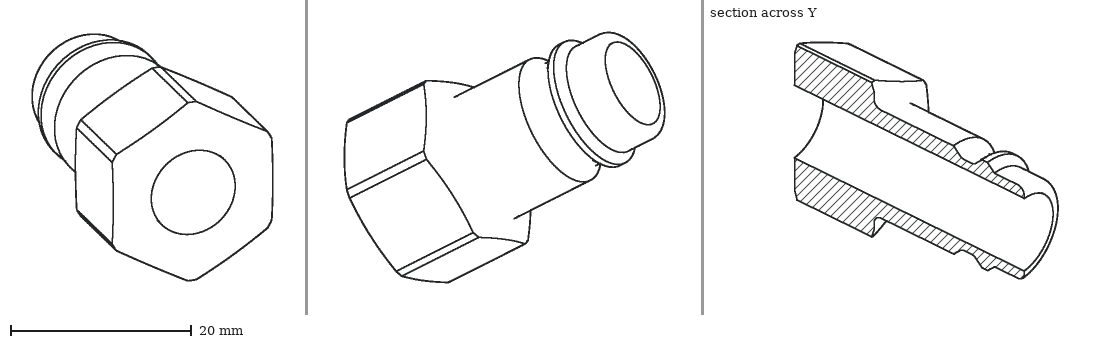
import cadquery as cq
import math

total_length = 33.0
bore_diameter = 10.0

nose_radius = 13.0 / 2
nose_rounding = 1.0
collar_radius = 15.0 / 2
collar_start = 5.28
collar_end = 6.07
groove_radius = 12.65 / 2
groove_fillet = 1.0
body_start = 10.13
body_radius = collar_radius
shoulder_fillet = 1.0

hex_start = 21.5
across_flats = 19.0
corner_diameter = 21.4
chamfer_length = 0.35
front_chamfer_diameter = across_flats
rear_chamfer_diameter = 18.8


def make_plug():
    """Revolved plug: rounded nose, collar, locking groove and body."""
    diagonal = math.sqrt(0.5)
    fillet_rise = groove_fillet * (1 - diagonal)
    fillet_run = groove_fillet * diagonal
    wall_foot_radius = groove_radius + fillet_rise
    collar_wall_foot = collar_end + collar_radius - wall_foot_radius
    body_wall_foot = body_start - (body_radius - wall_foot_radius)
    floor_start = collar_wall_foot + fillet_run
    floor_end = body_wall_foot - fillet_run

    half_sweep = math.radians(22.5)
    mid_run = groove_fillet * math.sin(half_sweep)
    mid_radius = groove_radius + groove_fillet * (1 - math.cos(half_sweep))

    nose_inset = nose_rounding * (1 - diagonal)
    shoulder_inset = shoulder_fillet * (1 - diagonal)

    profile = (
        cq.Workplane("XY")
        .lineTo(0, nose_radius - nose_rounding)
        .threePointArc((nose_inset, nose_radius - nose_inset), (nose_rounding, nose_radius))
        .lineTo(collar_start - (collar_radius - nose_radius), nose_radius)
        .lineTo(collar_start, collar_radius)
        .lineTo(collar_end, collar_radius)
        .lineTo(collar_wall_foot, wall_foot_radius)
        .threePointArc((floor_start - mid_run, mid_radius), (floor_start, groove_radius))
        .lineTo(floor_end, groove_radius)
        .threePointArc((floor_end + mid_run, mid_radius), (body_wall_foot, wall_foot_radius))
        .lineTo(body_start, body_radius)
        .lineTo(hex_start - shoulder_fillet, body_radius)
        .threePointArc(
            (hex_start - shoulder_inset, body_radius + shoulder_inset),
            (hex_start, body_radius + shoulder_fillet),
        )
        .lineTo(total_length, body_radius + shoulder_fillet)
        .lineTo(total_length, 0)
        .close()
    )
    return profile.revolve(360, (0, 0, 0), (1, 0, 0))


def make_hexagon():
    """Hexagon with corners up and down, trimmed by a chamfered cylinder."""
    sharp_diameter = across_flats / math.cos(math.radians(30))
    prism = (
        cq.Workplane("YZ", origin=(hex_start, 0, 0))
        .transformed(rotate=(0, 0, 90))
        .polygon(6, sharp_diameter)
        .extrude(total_length - hex_start)
    )
    envelope = (
        cq.Workplane("XY")
        .moveTo(hex_start, 0)
        .lineTo(hex_start, front_chamfer_diameter / 2)
        .lineTo(hex_start + chamfer_length, corner_diameter / 2)
        .lineTo(total_length - chamfer_length, corner_diameter / 2)
        .lineTo(total_length, rear_chamfer_diameter / 2)
        .lineTo(total_length, 0)
        .close()
        .revolve(360, (0, 0, 0), (1, 0, 0))
    )
    return prism.intersect(envelope)


bore = cq.Workplane("YZ").circle(bore_diameter / 2).extrude(total_length)
result = make_plug().union(make_hexagon()).cut(bore)